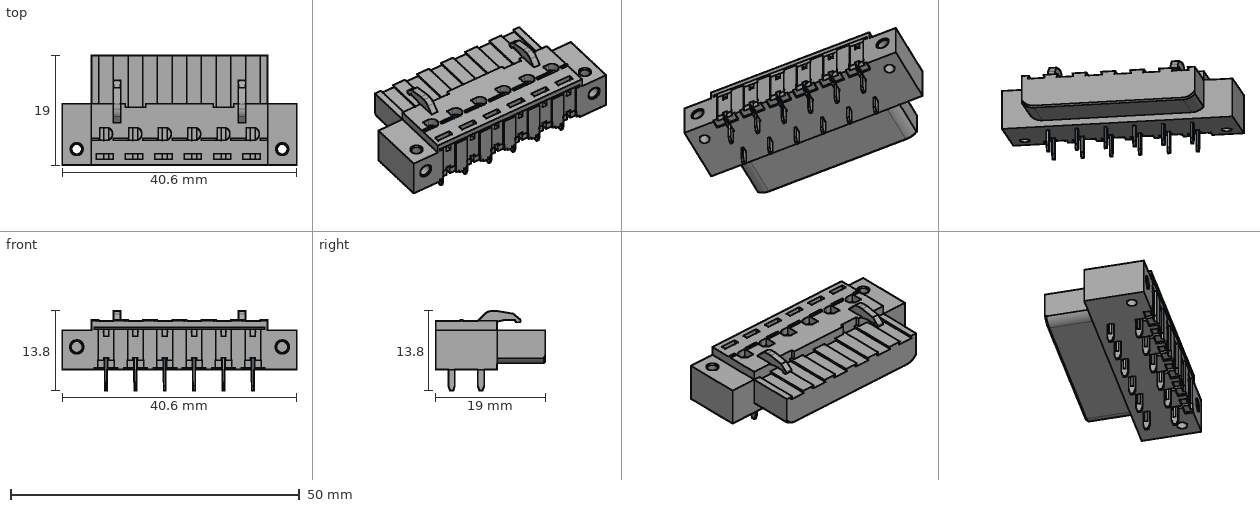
import cadquery as cq
import math

POLES = 6
PITCH = 5.08
POLE_XS = [(i - (POLES - 1) / 2) * PITCH for i in range(POLES)]
BOUNDARY_XS = [(i - POLES / 2) * PITCH for i in range(POLES + 1)]

HOUSING_LENGTH = POLES * PITCH
HOUSING_DEPTH = 10.66
HOUSING_HEIGHT = 8.46
FLANGE_WIDTH = PITCH
FLANGE_HEIGHT = 6.85
FULL_DEPTH = 19.0
PLUG_BOTTOM = 1.1
PLUG_REAR_EDGE = 0.3
PLUG_CORNER_RADIUS = 2.8
PLUG_CORNER_TOP = 2.02
VALLEY_WIDTH = PITCH / 2
VALLEY_DEPTH = 0.54
VALLEY_UNDERCUT = 0.22

FLANGE_HOLE_Y = 2.78
FLANGE_HOLE_DIAMETER = 1.75
FLANGE_HOLE_MOUTH = 2.2
SCREW_HOLE_Z = 3.94
SCREW_HOLE_DIAMETER = 2.0
SCREW_HOLE_MOUTH = 2.4
SCREW_HOLE_DEPTH = 8.0

NOTCH_X = 1.5 * PITCH
NOTCH_WIDTH = 3.6
NOTCH_DEPTH = 0.6

RELIEF_DEPTH = 0.4
LIP_GROOVE_LENGTH = 29.5
LIP_GROOVE_BOTTOM = 6.98
RECESS_WIDTH = 2.7
FOOT_POCKET_WIDTH = 2.82
FOOT_POCKET_TOP = 1.6
FOOT_POCKET_DEPTH = 0.42
BASE_GAP_WIDTH = 4.07
BASE_GAP_HEIGHT = 0.37
BASE_GAP_DEPTH = 1.5

SLOT_WIDTH = 0.86
CONTACT_SLOT_BOTTOM = 5.78
PIN_SLOT_TOP = 2.1
PIN_SLOT_LOWER_WIDTH = 0.62
PIN_SLOT_DEPTH = 3.4
TEST_SLOT_LENGTH = 3.0
TEST_SLOT_WIDTH = 0.92
TEST_SLOT_Y = 1.5
TEST_SLOT_OFFSET = -0.23
ENTRY_RADIUS = 1.12
ENTRY_Y = 5.4
ENTRY_FLOOR = LIP_GROOVE_BOTTOM

RIB_FRONT = 4.28
RIB_WIDTH = 0.42
RIB_HEIGHT = 0.2

PIN_YS = (FLANGE_HOLE_Y, FLANGE_HOLE_Y + PITCH)
PIN_THICKNESS = 0.4
PIN_WIDTH = 1.16
PIN_TIP_WIDTH = 0.6
PIN_TAPER_LENGTH = 0.85
PIN_BOTTOM = -3.63
PIN_TOP = 2.6
BEAD_WIDTH = 0.45
BEAD_HEIGHT = 0.05
BEAD_BOTTOM = -2.1

LATCH_X = 10.8
LATCH_WIDTH = 1.25
LATCH_TOP = 10.17
LATCH_FOOT_Y = 7.3
NOSE_TOP_Y = 13.42
NOSE_TOP_Z = 9.71
NOSE_BEND_Y = 14.6
NOSE_BEND_Z = 8.72
NOSE_TIP_Y = 14.72
NOSE_TIP_Z = 8.5
NOSE_HEEL_Y = 14.5
NOSE_BOTTOM = 8.17
NOSE_TOE_Y = 13.96
ARM_UNDERSIDE_REAR_Y = 13.7
ARM_UNDERSIDE_FRONT_Y = 11.8
ARM_UNDERSIDE = 8.56
ARM_ROOT = 8.28


def box(x_min, x_max, y_min, y_max, z_min, z_max):
    size = (x_max - x_min, y_max - y_min, z_max - z_min)
    return cq.Workplane("XY").box(*size, centered=False).translate((x_min, y_min, z_min))


def centred_box(x, width, y_min, y_max, z_min, z_max):
    return box(x - width / 2, x + width / 2, y_min, y_max, z_min, z_max)


def side_profile():
    """Sketch plane whose local axes are Y and Z, extruding along +X."""
    return cq.Workplane("YZ")


def make_housing():
    housing = centred_box(0, HOUSING_LENGTH, 0, HOUSING_DEPTH, 0, HOUSING_HEIGHT)
    flanges = centred_box(0, HOUSING_LENGTH + 2 * FLANGE_WIDTH, 0, HOUSING_DEPTH, 0, FLANGE_HEIGHT)
    return housing.union(flanges)


def make_plug():
    half_length = HOUSING_LENGTH / 2
    arc_start = math.asin(1 - (PLUG_CORNER_TOP - PLUG_BOTTOM) / PLUG_CORNER_RADIUS)
    arc_middle = (arc_start + math.pi / 2) / 2
    arc_centre_x = half_length - PLUG_CORNER_RADIUS * math.cos(arc_start)
    arc_centre_z = PLUG_BOTTOM + PLUG_CORNER_RADIUS
    arc_middle_x = arc_centre_x + PLUG_CORNER_RADIUS * math.cos(arc_middle)
    arc_middle_z = arc_centre_z - PLUG_CORNER_RADIUS * math.sin(arc_middle)
    plug = (
        cq.Workplane("XZ", origin=(0, FULL_DEPTH, 0))
        .moveTo(-half_length, FLANGE_HEIGHT)
        .lineTo(-half_length, PLUG_CORNER_TOP)
        .threePointArc((-arc_middle_x, arc_middle_z), (-arc_centre_x, PLUG_BOTTOM))
        .lineTo(arc_centre_x, PLUG_BOTTOM)
        .threePointArc((arc_middle_x, arc_middle_z), (half_length, PLUG_CORNER_TOP))
        .lineTo(half_length, FLANGE_HEIGHT)
        .close()
        .extrude(FULL_DEPTH - HOUSING_DEPTH / 2)
    )
    rear_bottom = cq.selectors.BoxSelector(
        (-HOUSING_LENGTH, FULL_DEPTH - PLUG_REAR_EDGE, PLUG_BOTTOM - PLUG_REAR_EDGE),
        (HOUSING_LENGTH, FULL_DEPTH + PLUG_REAR_EDGE, PLUG_CORNER_TOP),
    )
    return plug.faces(">Y").edges(rear_bottom).chamfer(PLUG_REAR_EDGE)


def make_valley(y_front):
    """Cutter for a dovetail groove along the plug's top, open at the rear."""
    half_width = VALLEY_WIDTH / 2
    return (
        cq.Workplane("XZ", origin=(0, FULL_DEPTH, FLANGE_HEIGHT))
        .moveTo(-half_width, 0)
        .lineTo(half_width, 0)
        .lineTo(half_width + VALLEY_UNDERCUT, -VALLEY_DEPTH)
        .lineTo(-half_width - VALLEY_UNDERCUT, -VALLEY_DEPTH)
        .close()
        .extrude(FULL_DEPTH - y_front)
    )


def cut_rear_notches(body):
    notch_front = HOUSING_DEPTH - NOTCH_DEPTH
    for x in (-NOTCH_X, NOTCH_X):
        notch = centred_box(x, NOTCH_WIDTH, notch_front, HOUSING_DEPTH, FLANGE_HEIGHT, HOUSING_HEIGHT)
        body = body.cut(notch)
    return body


def cut_valleys(body):
    """The valleys beneath the notches run on to the notches' front walls."""
    for x in POLE_XS:
        under_notch = abs(abs(x) - NOTCH_X) < PITCH / 2
        y_front = HOUSING_DEPTH - NOTCH_DEPTH if under_notch else HOUSING_DEPTH
        body = body.cut(make_valley(y_front).translate((x, 0, 0)))
    return body


def countersunk_hole(diameter, mouth, depth):
    """Cutter along -Z from the origin, with a 45 degree countersink at its mouth."""
    sink = (mouth - diameter) / 2
    return (
        cq.Workplane("XZ")
        .lineTo(mouth / 2, 0)
        .lineTo(diameter / 2, -sink)
        .lineTo(diameter / 2, -depth)
        .lineTo(0, -depth)
        .close()
        .revolve(360, (0, 0), (0, 1))
    )


def cut_flange_holes(body):
    post_hole = countersunk_hole(FLANGE_HOLE_DIAMETER, FLANGE_HOLE_MOUTH, FLANGE_HEIGHT)
    screw_hole = countersunk_hole(SCREW_HOLE_DIAMETER, SCREW_HOLE_MOUTH, SCREW_HOLE_DEPTH)
    screw_hole = screw_hole.rotate((0, 0, 0), (1, 0, 0), 90)
    flange_x = (HOUSING_LENGTH + FLANGE_WIDTH) / 2
    for x in (-flange_x, flange_x):
        body = body.cut(post_hole.translate((x, FLANGE_HOLE_Y, FLANGE_HEIGHT)))
        body = body.cut(screw_hole.translate((x, 0, SCREW_HOLE_Z)))
    return body


def cut_lip_groove(body):
    groove = (
        side_profile()
        .moveTo(0, LIP_GROOVE_BOTTOM)
        .lineTo(RELIEF_DEPTH, LIP_GROOVE_BOTTOM)
        .lineTo(0, LIP_GROOVE_BOTTOM + RELIEF_DEPTH)
        .close()
        .extrude(LIP_GROOVE_LENGTH / 2, both=True)
    )
    return body.cut(groove)


def cut_front_relief(body, x):
    recess = centred_box(x, RECESS_WIDTH, 0, RELIEF_DEPTH, 0, LIP_GROOVE_BOTTOM)
    foot_pocket = centred_box(x, FOOT_POCKET_WIDTH, 0, FOOT_POCKET_DEPTH, 0, FOOT_POCKET_TOP)
    base_gap = centred_box(x, BASE_GAP_WIDTH, 0, BASE_GAP_DEPTH, 0, BASE_GAP_HEIGHT)
    lower_slot = centred_box(x, PIN_SLOT_LOWER_WIDTH, 0, PIN_SLOT_DEPTH, 0, FOOT_POCKET_TOP)
    upper_slot = centred_box(x, SLOT_WIDTH, 0, PIN_SLOT_DEPTH, FOOT_POCKET_TOP, PIN_SLOT_TOP)
    for cutter in (recess, foot_pocket, base_gap, lower_slot, upper_slot):
        body = body.cut(cutter)
    return body


def cut_contact_openings(body, x):
    contact_slot = centred_box(
        x, SLOT_WIDTH, 0, ENTRY_Y + ENTRY_RADIUS, CONTACT_SLOT_BOTTOM, LIP_GROOVE_BOTTOM
    )
    test_slot = centred_box(
        x + TEST_SLOT_OFFSET,
        TEST_SLOT_LENGTH,
        TEST_SLOT_Y - TEST_SLOT_WIDTH / 2,
        TEST_SLOT_Y + TEST_SLOT_WIDTH / 2,
        LIP_GROOVE_BOTTOM - RELIEF_DEPTH,
        HOUSING_HEIGHT,
    )
    wire_entry = (
        cq.Workplane("XY", origin=(x, ENTRY_Y, ENTRY_FLOOR))
        .moveTo(-ENTRY_RADIUS, -ENTRY_RADIUS)
        .lineTo(0, -ENTRY_RADIUS)
        .threePointArc((ENTRY_RADIUS, 0), (0, ENTRY_RADIUS))
        .lineTo(-ENTRY_RADIUS, ENTRY_RADIUS)
        .close()
        .extrude(HOUSING_HEIGHT - ENTRY_FLOOR)
    )
    return body.cut(contact_slot).cut(test_slot).cut(wire_entry)


def add_marking_ribs(body):
    half_length = HOUSING_LENGTH / 2
    for x in BOUNDARY_XS:
        rib = box(
            max(x - PITCH / 4, -half_length),
            min(x + PITCH / 4, half_length),
            RIB_FRONT,
            RIB_FRONT + RIB_WIDTH,
            HOUSING_HEIGHT,
            HOUSING_HEIGHT + RIB_HEIGHT,
        )
        body = body.union(rib)
    return body


def make_pin():
    taper_z = PIN_BOTTOM + PIN_TAPER_LENGTH
    blade = (
        side_profile()
        .moveTo(-PIN_WIDTH / 2, PIN_TOP)
        .lineTo(-PIN_WIDTH / 2, taper_z)
        .lineTo(-PIN_TIP_WIDTH / 2, PIN_BOTTOM)
        .lineTo(PIN_TIP_WIDTH / 2, PIN_BOTTOM)
        .lineTo(PIN_WIDTH / 2, taper_z)
        .lineTo(PIN_WIDTH / 2, PIN_TOP)
        .close()
        .extrude(PIN_THICKNESS / 2, both=True)
    )
    bead = box(
        -PIN_THICKNESS / 2 - BEAD_HEIGHT, 0, -BEAD_WIDTH / 2, BEAD_WIDTH / 2, BEAD_BOTTOM, PIN_TOP
    )
    return blade.union(bead)


def make_latch():
    crown_front_y = 9.75
    bend_radius = 1.81
    bend_angle = math.radians(45)

    def bend_point(angle):
        return (
            crown_front_y - bend_radius * math.sin(angle),
            LATCH_TOP - bend_radius * (1 - math.cos(angle)),
        )

    profile = (
        side_profile()
        .moveTo(LATCH_FOOT_Y, HOUSING_HEIGHT)
        .lineTo(*bend_point(bend_angle))
        .threePointArc(bend_point(bend_angle / 2), (crown_front_y, LATCH_TOP))
        .lineTo(HOUSING_DEPTH, LATCH_TOP)
        .lineTo(NOSE_TOP_Y, NOSE_TOP_Z)
        .lineTo(NOSE_BEND_Y, NOSE_BEND_Z)
        .threePointArc((NOSE_TIP_Y, NOSE_TIP_Z), (NOSE_HEEL_Y, NOSE_BOTTOM))
        .lineTo(NOSE_TOE_Y, NOSE_BOTTOM)
        .lineTo(ARM_UNDERSIDE_REAR_Y, ARM_UNDERSIDE)
        .lineTo(ARM_UNDERSIDE_FRONT_Y, ARM_UNDERSIDE)
        .lineTo(HOUSING_DEPTH, ARM_ROOT)
        .lineTo(LATCH_FOOT_Y, ARM_ROOT)
        .close()
    )
    return profile.extrude(LATCH_WIDTH / 2, both=True)


body = make_housing().union(make_plug())
body = cut_rear_notches(body)
body = cut_valleys(body)
body = cut_flange_holes(body)
body = cut_lip_groove(body)
for pole_x in POLE_XS:
    body = cut_front_relief(body, pole_x)
    body = cut_contact_openings(body, pole_x)
body = add_marking_ribs(body)

pin = make_pin()
for pole_x in POLE_XS:
    for pin_y in PIN_YS:
        body = body.union(pin.translate((pole_x, pin_y, 0)))

latch = make_latch()
for latch_x in (-LATCH_X, LATCH_X):
    body = body.union(latch.translate((latch_x, 0, 0)))

result = body